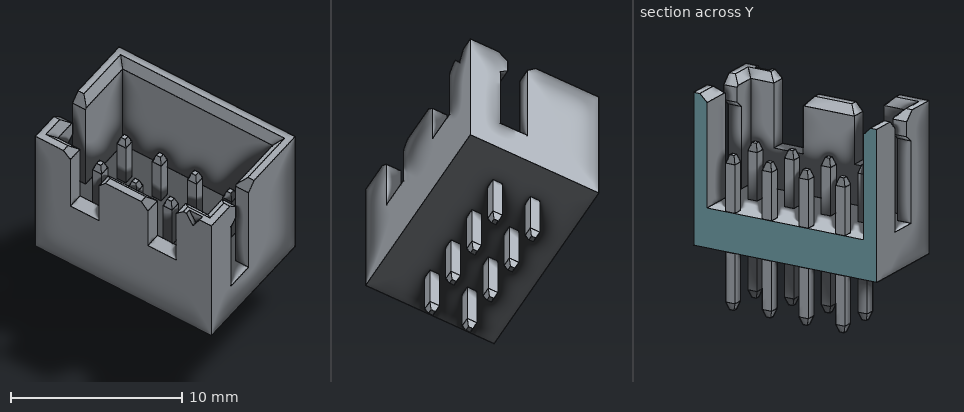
import cadquery as cq

total_height = 13.1
housing_length = 12.5
housing_width = 8.61
housing_height = 9.5
floor_thickness = 2.5
end_wall = 0.93
long_wall = 0.98
front_y = -housing_width / 2

end_rim = 0.43
long_rim = 0.47
rim_bevel_depth = 0.47

window_length = 7.5
window_depth = 4.49
window_bevel = 0.5
tab_length = 3.48
tab_drop = 0.98
tab_bevel_width = 0.47
tab_bevel_depth = 0.52

slot_near = 2.02
slot_far = 3.81
slot_bevel = 0.56
hook_tip = 2.52
hook_bevel_width = 0.62
hook_tip_bottom_depth = 1.49
hook_root_depth = 1.9

mark_x = 4.94
mark_width = 0.93
mark_height = 0.79
mark_depth = 0.3

pin_pitch = 2.5
pins_per_row = 4
row_count = 2
front_row_offset = 3.05
pin_size = 0.64
pin_tip_size = 0.3
pin_taper = 0.5
pin_top_drop = 3.5

cavity_length = housing_length - 2 * end_wall
cavity_width = housing_width - 2 * long_wall
tab_top = housing_height - tab_drop


def front_prism(points, depth):
    """Extrude an (X, Z) outline from the front face into the part."""
    plane = cq.Workplane("XZ", origin=(0, front_y, 0))
    return plane.polyline(points).close().extrude(-depth)


def cross_prism(points, length):
    """Extrude a (Y, Z) outline along X, centred on the part."""
    return cq.Workplane("YZ").polyline(points).close().extrude(length / 2, both=True)


def make_shell():
    body = cq.Workplane("XY").box(
        housing_length, housing_width, housing_height, centered=(True, True, False)
    )
    cavity = (
        cq.Workplane("XY", origin=(0, 0, floor_thickness))
        .rect(cavity_length, cavity_width)
        .extrude(housing_height - floor_thickness)
    )
    mouth = (
        cq.Workplane("XY", origin=(0, 0, housing_height - rim_bevel_depth))
        .rect(cavity_length, cavity_width)
        .workplane(offset=rim_bevel_depth)
        .rect(housing_length - 2 * end_rim, housing_width - 2 * long_rim)
        .loft(ruled=True)
    )
    return body.cut(cavity).cut(mouth)


def make_window():
    half = window_length / 2
    sill = housing_height - window_depth
    shoulder = housing_height - rim_bevel_depth
    outline = [
        (-half, sill),
        (half, sill),
        (half, shoulder),
        (half + window_bevel, housing_height),
        (-half - window_bevel, housing_height),
        (-half, shoulder),
    ]
    return front_prism(outline, long_wall)


def make_tab():
    half = tab_length / 2
    shoulder = tab_top - tab_bevel_depth
    root = housing_height - window_depth
    outline = [
        (-half, root),
        (half, root),
        (half, shoulder),
        (half - tab_bevel_width, tab_top),
        (-half + tab_bevel_width, tab_top),
        (-half, shoulder),
    ]
    inner_y = front_y + long_wall
    inner_bevel = [
        (inner_y, tab_top - tab_bevel_depth),
        (inner_y, tab_top),
        (front_y + long_rim, tab_top),
    ]
    return front_prism(outline, long_wall).cut(cross_prism(inner_bevel, tab_length))


def make_end_slots():
    near_y = front_y + slot_near
    far_y = front_y + slot_far
    hook_y = front_y + hook_tip
    shoulder = housing_height - slot_bevel
    outline = [
        (near_y, floor_thickness),
        (far_y, floor_thickness),
        (far_y, shoulder),
        (far_y + slot_bevel, housing_height),
        (hook_y - hook_bevel_width, housing_height),
        (hook_y, shoulder),
        (hook_y, housing_height - hook_tip_bottom_depth),
        (near_y, housing_height - hook_root_depth),
    ]
    return cross_prism(outline, housing_length)


def make_mark():
    outline = [
        (mark_x - mark_width / 2, housing_height),
        (mark_x + mark_width / 2, housing_height),
        (mark_x, housing_height - mark_height),
    ]
    return front_prism(outline, mark_depth)


def make_pin(x, y):
    """Square pin through the floor, tapered at both ends."""
    bottom = housing_height - total_height
    shank_bottom = bottom + pin_taper
    shank_top = housing_height - pin_top_drop - pin_taper
    shank = (
        cq.Workplane("XY", origin=(x, y, shank_bottom))
        .rect(pin_size, pin_size)
        .extrude(shank_top - shank_bottom)
    )
    for z, offset in ((shank_bottom, -pin_taper), (shank_top, pin_taper)):
        tip = (
            cq.Workplane("XY", origin=(x, y, z))
            .rect(pin_size, pin_size)
            .workplane(offset=offset)
            .rect(pin_tip_size, pin_tip_size)
            .loft(ruled=True)
        )
        shank = shank.union(tip)
    return shank


result = make_shell().cut(make_window()).union(make_tab()).cut(make_end_slots()).cut(make_mark())

for row in range(row_count):
    for column in range(pins_per_row):
        pin_x = (column - (pins_per_row - 1) / 2) * pin_pitch
        pin_y = front_y + front_row_offset + row * pin_pitch
        result = result.union(make_pin(pin_x, pin_y))